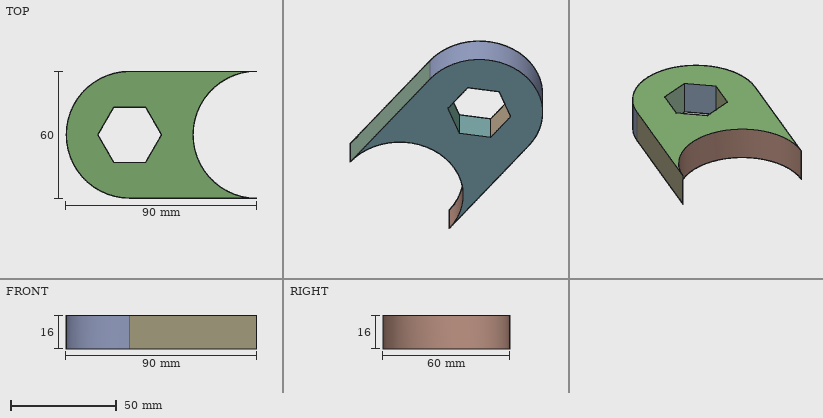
import cadquery as cq

thickness = 16.0
end_radius = 30.0
center_spacing = 60.0
hex_across_corners = 30.0


def make_link_body():
    """Plate with one convex round end and one concave round end of the same radius.

    The rounded end's axis is the Z axis; the side walls run tangent into both arcs,
    so the concave end leaves two sharp tips.
    """
    return (
        cq.Workplane("XY")
        .moveTo(0, end_radius)
        .threePointArc((-end_radius, 0), (0, -end_radius))
        .lineTo(center_spacing, -end_radius)
        .threePointArc((center_spacing - end_radius, 0), (center_spacing, end_radius))
        .close()
        .extrude(thickness)
    )


def cut_hex_hole(body):
    """Hexagonal through hole on the rounded end's axis, with two corners on the X axis."""
    hexagon = cq.Workplane("XY").polygon(6, hex_across_corners).extrude(thickness)
    return body.cut(hexagon)


result = cut_hex_hole(make_link_body())